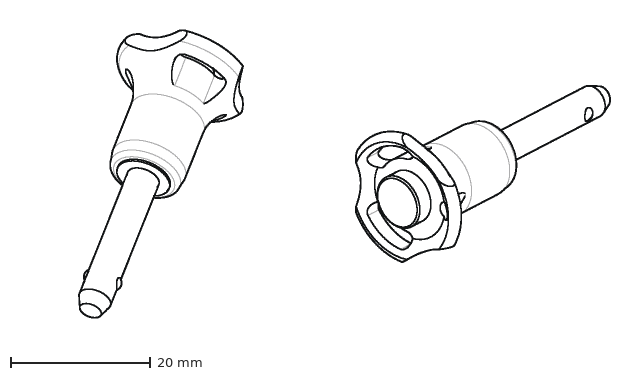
import cadquery as cq
import math


tip_y = -45.45
tip_taper_y = -43.42
ball_y = -39.8
collar_y = -21.0
body_front_y = -20.7
body_taper_y = -18.35
flare_y = -9.85
rim_back_y = -0.7
dish_floor_y = -2.75

pin_radius = 2.4
tip_radius = 1.65
button_radius = 4.0
button_chamfer = 0.27
body_radius = 5.6
body_front_radius = 5.3
nose_round = 0.7
handle_radius = 10.2
rim_round = 1.15
dish_floor_radius = 6.6

scallop_depth_radius = 8.15
scallop_radius = 27.3
opening_circle_radius = 7.0
lanyard_hole_radius = 1.27
slot_half_width = 1.2
slot_half_angle = 25.5

ball_radius = 1.15
ball_reach = 2.8


def revolve_profile(profile):
    return profile.close().revolve(360, (0, 0, 0), (0, 1, 0))


def polar(radius, degrees):
    angle = math.radians(degrees)
    return radius * math.cos(angle), radius * math.sin(angle)


def point_on_arc(center, radius, degrees):
    dx, dy = polar(radius, degrees)
    return center[0] + dx, center[1] + dy


def make_handle():
    """Body with a tapered nose, flaring into a rounded rim around a dished back."""
    rim_center = (handle_radius - rim_round, rim_back_y - rim_round)

    radial_gap = rim_center[0] - body_radius
    axial_gap = rim_center[1] - flare_y
    flare_radius = (radial_gap**2 + axial_gap**2 - rim_round**2) / (2 * (radial_gap + rim_round))
    flare_center = (body_radius + flare_radius, flare_y)
    join_angle = math.degrees(math.atan2(axial_gap, rim_center[0] - flare_center[0]))
    flare_end = point_on_arc(flare_center, flare_radius, join_angle)
    flare_middle = point_on_arc(flare_center, flare_radius, (180 + join_angle) / 2)

    nose_center = (body_front_radius - nose_round, body_front_y + nose_round)
    profile = (
        cq.Workplane("XY")
        .moveTo(0, body_front_y)
        .lineTo(nose_center[0], body_front_y)
        .threePointArc(point_on_arc(nose_center, nose_round, -45), (body_front_radius, nose_center[1]))
        .lineTo(body_radius, body_taper_y)
        .lineTo(body_radius, flare_y)
        .threePointArc(flare_middle, flare_end)
        .threePointArc((handle_radius, rim_center[1]), (rim_center[0], rim_back_y))
        .lineTo(dish_floor_radius, dish_floor_y)
        .lineTo(0, dish_floor_y)
    )
    return revolve_profile(profile)


def make_spindle():
    """Push button, front collar and tapered pin on one axis."""
    profile = (
        cq.Workplane("XY")
        .moveTo(0, tip_y)
        .lineTo(tip_radius, tip_y)
        .lineTo(pin_radius, tip_taper_y)
        .lineTo(pin_radius, collar_y)
        .lineTo(button_radius, collar_y)
        .lineTo(button_radius, -button_chamfer)
        .lineTo(button_radius - button_chamfer, 0)
        .lineTo(0, 0)
    )
    return revolve_profile(profile)


def along_handle(sketch):
    """Extrude an XZ sketch from Y = 0 to the end of the flare."""
    return sketch.extrude(-flare_y)


def make_scallop(degrees):
    center = polar(scallop_depth_radius + scallop_radius, degrees)
    return along_handle(cq.Workplane("XZ").center(*center).circle(scallop_radius))


def make_slot(degrees):
    inner = opening_circle_radius - slot_half_width
    outer = opening_circle_radius + slot_half_width
    start = degrees - slot_half_angle
    end = degrees + slot_half_angle
    start_cap = polar(opening_circle_radius, start)
    end_cap = polar(opening_circle_radius, end)
    outline = (
        cq.Workplane("XZ")
        .moveTo(*polar(inner, start))
        .threePointArc(polar(inner, degrees), polar(inner, end))
        .threePointArc(point_on_arc(end_cap, slot_half_width, end + 90), polar(outer, end))
        .threePointArc(polar(outer, degrees), polar(outer, start))
        .threePointArc(point_on_arc(start_cap, slot_half_width, start - 90), polar(inner, start))
        .close()
    )
    return along_handle(outline)


handle = make_handle()
for scallop_angle in (0, 120, 240):
    handle = handle.cut(make_scallop(scallop_angle))
for slot_angle in (60, -60):
    handle = handle.cut(make_slot(slot_angle))
lanyard_hole = cq.Workplane("XZ").center(-opening_circle_radius, 0).circle(lanyard_hole_radius)
handle = handle.cut(along_handle(lanyard_hole))

result = handle.union(make_spindle())
for side in (-1, 1):
    ball_x = side * (ball_reach - ball_radius)
    result = result.union(cq.Workplane("XY").sphere(ball_radius).translate((ball_x, ball_y, 0)))